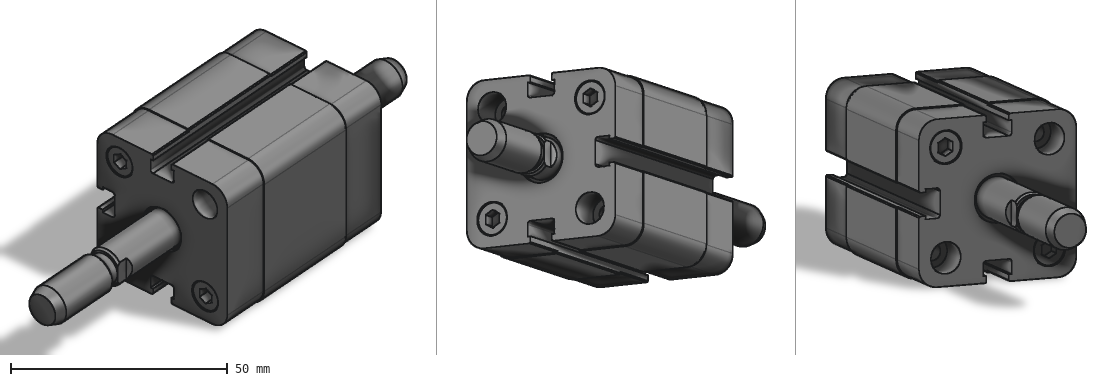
import cadquery as cq
import math


TUBE_SIDE = 40.1
CAP_SIDE = 39.5
TUBE_CORNER_RADIUS = 5.0
CAP_CORNER_RADIUS = 4.6
TUBE_LENGTH = 29.0
CAP_LENGTH = 12.75
BODY_LENGTH = TUBE_LENGTH + 2 * CAP_LENGTH

SLOT_NECK_WIDTH = 5.6
SLOT_WIDTH = 7.1
SLOT_NECK_DEPTH = 1.95
SLOT_DEPTH = 5.6
SLOT_FLOOR_RADIUS = 0.8
SLOT_LIP_CHAMFER = 0.3
SLOT_ANGLES = (0, 90, 180)

CORNER_OFFSET = 13.0
THROUGH_HOLE_DIAMETER = 4.13
COUNTERBORE_DIAMETER = 7.5
COUNTERBORE_DEPTH = 8.0
SCREW_SEAT_DIAMETER = 8.0
SCREW_HEAD_DIAMETER = 7.5
SCREW_SEAT_DEPTH = 4.0
SCREW_RECESS = 0.2
HEX_ACROSS_FLATS = 3.7
HEX_DEPTH = 3.0

ROD_DIAMETER = 10.0
ROD_BORE_DIAMETER = 11.6
ROD_BORE_DEPTH = 1.0
STROKE = 15.0
REAR_ROD_LENGTH = 27.5
FRONT_ROD_LENGTH = REAR_ROD_LENGTH + STROKE
THREAD_LENGTH = 19.0
TIP_DIAMETER = 8.0
TIP_CHAMFER_LENGTH = 2.7
RELIEF_DIAMETER = 7.9
RELIEF_LENGTH = 3.0
RELIEF_CONE_LENGTH = 0.7
SHOULDER_CHAMFER_LENGTH = 0.75
SHOULDER_CHAMFER_DEPTH = 0.43
FLATS_WIDTH = 8.0
FLATS_LENGTH = 3.1


def along_y(start):
    """Sketch plane across the rod axis at Y = start, with X right and Z up; extrude by -length for +Y."""
    return cq.Workplane("XZ", origin=(0, start, 0))


def slot_cutter(side, start, length):
    """T-slot cutter for the top (+Z) face of a block of the given side; floor and ledge suit the tube face."""
    top = side / 2
    floor = TUBE_SIDE / 2 - SLOT_DEPTH
    ledge = TUBE_SIDE / 2 - SLOT_NECK_DEPTH
    half_neck = SLOT_NECK_WIDTH / 2
    half_lip = half_neck + SLOT_LIP_CHAMFER
    chamber = (
        along_y(start)
        .center(0, (floor + ledge) / 2)
        .rect(SLOT_WIDTH, ledge - floor)
        .extrude(-length)
        .edges("|Y and <Z")
        .fillet(SLOT_FLOOR_RADIUS)
    )
    neck = (
        along_y(start)
        .moveTo(-half_neck, floor)
        .lineTo(half_neck, floor)
        .lineTo(half_neck, top - SLOT_LIP_CHAMFER)
        .lineTo(half_lip, top)
        .lineTo(-half_lip, top)
        .lineTo(-half_neck, top - SLOT_LIP_CHAMFER)
        .close()
        .extrude(-length)
    )
    return chamber.union(neck)


def slotted_block(side, corner_radius, start, length):
    block = along_y(start).rect(side, side).extrude(-length).edges("|Y").fillet(corner_radius)
    cutter = slot_cutter(side, start, length)
    for angle in SLOT_ANGLES:
        block = block.cut(cutter.rotate((0, 0, 0), (0, -1, 0), angle))
    return block


def mirrored_to_rear(front):
    """Copy of a front-end feature at the rear end of the body."""
    return front.mirror("XZ", (0, BODY_LENGTH / 2, 0))


def on_both_ends(front):
    return front.union(mirrored_to_rear(front))


def make_body():
    tube = slotted_block(TUBE_SIDE, TUBE_CORNER_RADIUS, CAP_LENGTH, TUBE_LENGTH)
    front_cap = slotted_block(CAP_SIDE, CAP_CORNER_RADIUS, 0, CAP_LENGTH)
    return tube.union(on_both_ends(front_cap))


def corner_points(side):
    """Diagonal pair of corner positions: side = 1 holds the open holes, side = -1 the screws."""
    return [(CORNER_OFFSET, side * CORNER_OFFSET), (-CORNER_OFFSET, -side * CORNER_OFFSET)]


def open_holes():
    points = corner_points(1)
    holes = along_y(0).pushPoints(points).circle(THROUGH_HOLE_DIAMETER / 2).extrude(-BODY_LENGTH)
    bores = along_y(0).pushPoints(points).circle(COUNTERBORE_DIAMETER / 2).extrude(-COUNTERBORE_DEPTH)
    return holes.union(on_both_ends(bores))


def screw_seats():
    """Space left around and inside the recessed heads of the two socket screws at each end."""
    points = corner_points(-1)
    hex_corners = HEX_ACROSS_FLATS / math.cos(math.pi / 6)
    seats = along_y(0).pushPoints(points).circle(SCREW_SEAT_DIAMETER / 2).extrude(-SCREW_SEAT_DEPTH)
    heads = (
        along_y(SCREW_RECESS)
        .pushPoints(points)
        .circle(SCREW_HEAD_DIAMETER / 2)
        .extrude(SCREW_RECESS - SCREW_SEAT_DEPTH)
    )
    sockets = (
        along_y(SCREW_RECESS)
        .transformed(rotate=(0, 0, 90))
        .pushPoints([(z, -x) for x, z in points])
        .polygon(6, hex_corners)
        .extrude(-HEX_DEPTH)
    )
    return on_both_ends(seats.cut(heads).union(sockets))


def rod_bores():
    return on_both_ends(along_y(0).circle(ROD_BORE_DIAMETER / 2).extrude(-ROD_BORE_DEPTH))


def make_rod_half(tip):
    """Rod from the middle of the body forward to a threaded tip at Y = tip."""
    radius = ROD_DIAMETER / 2
    relief_radius = RELIEF_DIAMETER / 2
    thread_start = tip + THREAD_LENGTH
    shoulder = thread_start + RELIEF_LENGTH
    middle = BODY_LENGTH / 2
    rod = (
        cq.Workplane("YZ")
        .moveTo(tip, 0)
        .lineTo(tip, TIP_DIAMETER / 2)
        .lineTo(tip + TIP_CHAMFER_LENGTH, radius)
        .lineTo(thread_start, radius)
        .lineTo(thread_start + RELIEF_CONE_LENGTH, relief_radius)
        .lineTo(shoulder, relief_radius)
        .lineTo(shoulder, radius - SHOULDER_CHAMFER_DEPTH)
        .lineTo(shoulder + SHOULDER_CHAMFER_LENGTH, radius)
        .lineTo(middle, radius)
        .lineTo(middle, 0)
        .close()
        .revolve(360, (0, 0, 0), (1, 0, 0))
    )
    flat_depth = (ROD_DIAMETER - FLATS_WIDTH) / 2
    flat_end = shoulder + FLATS_LENGTH
    flat = (
        cq.Workplane("XY")
        .moveTo(FLATS_WIDTH / 2, shoulder)
        .lineTo(FLATS_WIDTH / 2, flat_end)
        .lineTo(radius, flat_end + flat_depth)
        .lineTo(radius, shoulder)
        .close()
        .extrude(radius, both=True)
    )
    return rod.cut(flat).cut(flat.mirror("YZ"))


body = make_body().cut(open_holes()).cut(screw_seats()).cut(rod_bores())
front_rod = make_rod_half(-FRONT_ROD_LENGTH)
rear_rod = mirrored_to_rear(make_rod_half(-REAR_ROD_LENGTH))
result = body.union(front_rod).union(rear_rod)